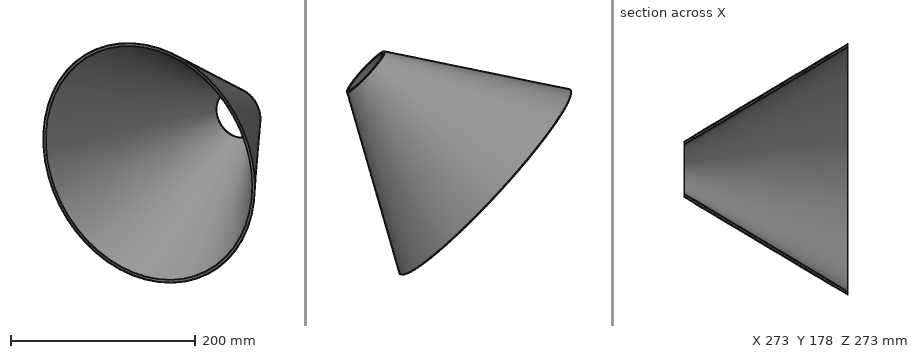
import cadquery as cq

large_outer_diameter = 273.0
small_outer_diameter = 60.3
length = 178.0
radial_wall = 3.5

large_outer_radius = large_outer_diameter / 2
small_outer_radius = small_outer_diameter / 2


def make_cone_shell():
    """Revolve the slanted wall section around the Y axis, wide end at Y = 0."""
    wall_section = (
        cq.Workplane("XY")
        .moveTo(large_outer_radius - radial_wall, 0)
        .lineTo(large_outer_radius, 0)
        .lineTo(small_outer_radius, length)
        .lineTo(small_outer_radius - radial_wall, length)
        .close()
    )
    return wall_section.revolve(360, (0, 0, 0), (0, 1, 0))


result = make_cone_shell()